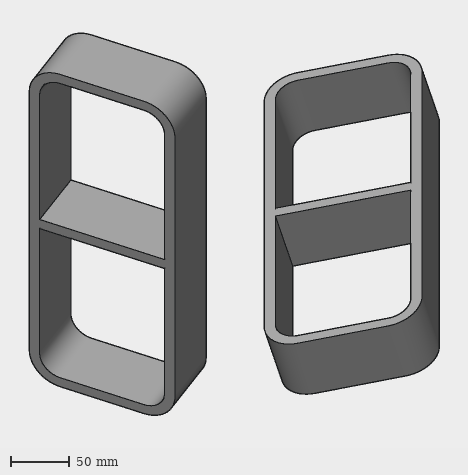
import cadquery as cq

width = 140.5
depth = 60.0
height = 349.0

wall = 10.0
shelf_thickness = wall
outer_radius = 30.0
inner_radius = outer_radius - wall


def rounded_block(size_x, size_z, radius):
    """Centred block running the full depth, with its four Y edges rounded."""
    return cq.Workplane("XY").box(size_x, depth, size_z).edges("|Y").fillet(radius)


inner_width = width - 2 * wall
inner_height = height - 2 * wall

outer = rounded_block(width, height, outer_radius)
opening = rounded_block(inner_width, inner_height, inner_radius)
frame = outer.cut(opening)

shelf = cq.Workplane("XY").box(inner_width + wall, depth, shelf_thickness)

result = frame.union(shelf)